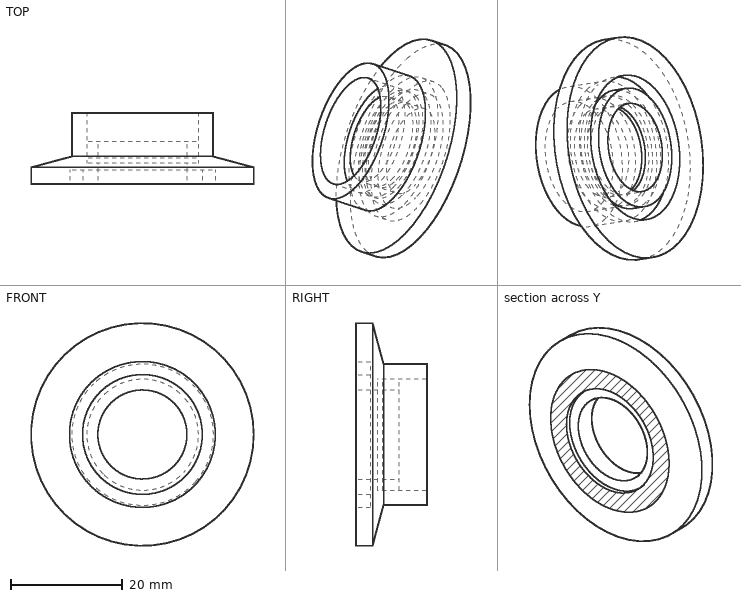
import cadquery as cq


flange_diameter = 40.0
stub_diameter = 25.4
total_length = 12.75
rim_end = 3.0
cone_end = 4.95

groove_outer_diameter = 26.2
groove_inner_diameter = 21.5
groove_depth = 2.6

aperture_diameter = 16.0
aperture_depth = 3.85
bore_diameter = 20.0

window_diameter = aperture_diameter
window_front = 4.7
window_thickness = 3.0
window_back = window_front + window_thickness


def disc(diameter, start, end):
    """Cylinder about the Y axis from Y = start to Y = end."""
    return cq.Workplane("XZ", origin=(0, start, 0)).circle(diameter / 2).extrude(start - end)


def ring(outer_diameter, inner_diameter, start, end):
    """Tube about the Y axis from Y = start to Y = end."""
    return disc(outer_diameter, start, end).cut(disc(inner_diameter, start, end))


def make_flange():
    """Tapered flange and stub with a face groove, a front aperture and a wider rear bore."""
    profile = [
        (0, 0),
        (flange_diameter / 2, 0),
        (flange_diameter / 2, rim_end),
        (stub_diameter / 2, cone_end),
        (stub_diameter / 2, total_length),
        (0, total_length),
    ]
    body = cq.Workplane("XY").polyline(profile).close().revolve(360, (0, 0), (0, 1))
    body = body.cut(ring(groove_outer_diameter, groove_inner_diameter, 0, groove_depth))
    body = body.cut(disc(aperture_diameter, 0, aperture_depth))
    return body.cut(disc(bore_diameter, aperture_depth, total_length))


def make_frame():
    """Ring that fills the bore around the window, set back from the aperture."""
    return ring(bore_diameter, window_diameter, window_front, window_back)


def make_window():
    """Plain disc that closes the frame."""
    return disc(window_diameter, window_front, window_back)


flange = make_flange()
frame = make_frame()
window = make_window()

result = cq.Compound.makeCompound([flange.val(), frame.val(), window.val()])